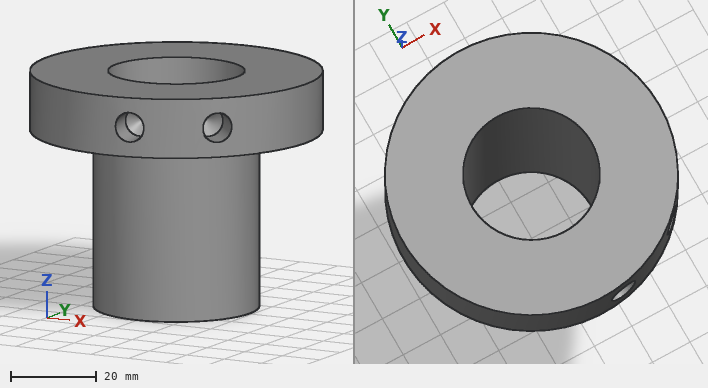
import cadquery as cq
import math

flange_diameter = 68.5
flange_thickness = 14.05
sleeve_diameter = 38.9
bore_diameter = 32.0
total_height = 56.0

hole_diameter = 7.0
hole_depth = 7.55
drill_point_angle = 90.0
hole_angles = (-80.0, -45.0)

flange_radius = flange_diameter / 2
hole_radius = hole_diameter / 2
flange_base = total_height - flange_thickness
hole_height = flange_base + flange_thickness / 2
drill_tip_length = hole_radius / math.tan(math.radians(drill_point_angle / 2))


def make_flanged_tube():
    """Tube standing on Z = 0 with a flange around its top end and a bore right through."""
    sleeve = cq.Workplane("XY").circle(sleeve_diameter / 2).extrude(total_height)
    flange = cq.Workplane("XY", origin=(0, 0, flange_base)).circle(flange_radius).extrude(flange_thickness)
    bore = cq.Workplane("XY").circle(bore_diameter / 2).extrude(total_height)
    return sleeve.union(flange).cut(bore)


def make_radial_drill(angle):
    """Cutter for one radial hole: a cylinder with a conical tip pointing at the Z axis."""
    hole_bottom = flange_radius - hole_depth
    return (
        cq.Workplane("XZ")
        .moveTo(hole_bottom - drill_tip_length, 0)
        .lineTo(hole_bottom, hole_radius)
        .lineTo(flange_radius, hole_radius)
        .lineTo(flange_radius, 0)
        .close()
        .revolve(360, (0, 0), (1, 0))
        .rotate((0, 0, 0), (0, 0, 1), angle)
        .translate((0, 0, hole_height))
    )


def make_bushing():
    """Flanged bushing with the blind holes in its rim."""
    body = make_flanged_tube()
    for angle in hole_angles:
        body = body.cut(make_radial_drill(angle))
    return body


bushing = make_bushing()

result = cq.Compound.makeCompound([bushing.solids().val()])